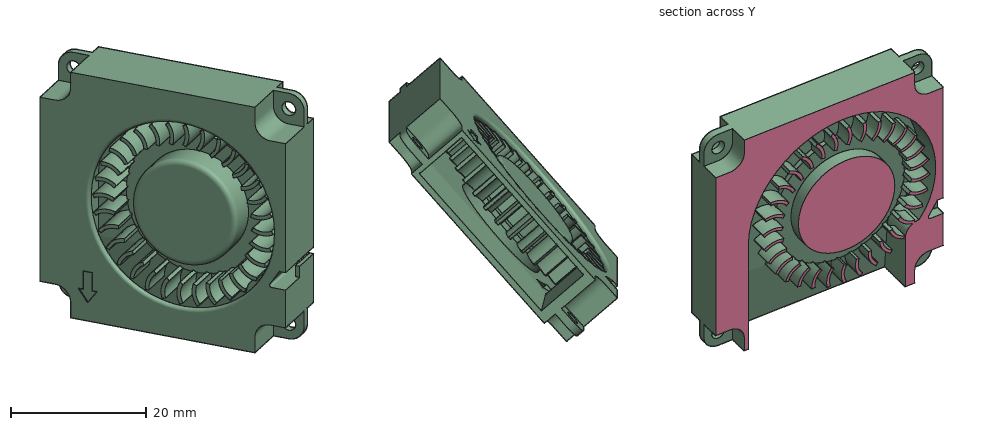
import cadquery as cq
import math

side = 40.0
depth = 10.0
half = side / 2
front_y = -depth / 2
back_y = depth / 2

cover_thickness = 0.8
floor_y = 3.2
floor_ramp_drop = 0.9
ramp_top_z = -9.85
cavity_front_y = front_y + cover_thickness

ear_radius = 2.5
ear_size = 2 * ear_radius
ear_hole_diameter = 2.2
ear_front_y = 1.6
ear_back_y = 2.85

fan_x = 3.0
inlet_diameter = 30.0
inlet_rounding = 0.5
hub_diameter = 17.0
hub_front_y = -4.0
hub_rounding = 0.8
disc_diameter = 22.8
disc_front_y = 0.4
disc_thickness = 0.8

blade_count = 32
blade_thickness = 0.6
blade_inner_radius = 11.0
blade_outer_radius = 14.8
blade_arc_radius = 3.3
blade_arc_center = (12.9, 2.65)
blade_reach = 4.8
blade_front_y = disc_front_y - blade_reach

scroll_start_angle = -20.0
scroll_start_radius = 15.4
scroll_end_angle = 180.0
scroll_end_radius = 17.2
scroll_points = 9
tongue_x = 13.3
tongue_radius = 2.4
tongue_center_z = -10.65

window_inner_radius = 10.8
window_outer_radius = 12.4
window_start_angle = -40.0
window_end_angle = -14.0

notch_top_z = -6.0
notch_bottom_z = -8.85
notch_top_x = 18.95
notch_bottom_x = 17.1
notch_rounding = 0.3
post_width = 0.7
post_top_z = -7.05
post_front_y = 0.0

arrow_x = -12.25
arrow_top_z = -12.0
arrow_shoulder_z = -14.95
arrow_tip_z = -17.0
arrow_stem_width = 1.5
arrow_head_width = 3.0
arrow_depth = 0.2


def plane_at(y):
    """XZ plane at depth y; positive extrusion runs toward the front (-Y)."""
    return cq.Workplane("XZ", origin=(0, y, 0))


def fan_plane_at(y):
    """XZ plane at depth y with its origin on the fan axis."""
    return cq.Workplane("XZ", origin=(fan_x, y, 0))


def polar(radius, angle):
    """Point at an angle in degrees around the local origin."""
    return (radius * math.cos(math.radians(angle)), radius * math.sin(math.radians(angle)))


def make_body():
    """Block with square corner pockets that leave a rounded ear in each corner."""
    body = plane_at(back_y).rect(side, side).extrude(depth)
    ear_plate = plane_at(ear_back_y).rect(side, side).extrude(ear_back_y - ear_front_y)
    ear_plate = ear_plate.edges("|Y").fillet(ear_radius)
    ear_center = half - ear_radius
    for sx in (-1, 1):
        for sz in (-1, 1):
            center = (sx * ear_center, sz * ear_center)
            cutter = plane_at(back_y).center(*center).rect(ear_size, ear_size).extrude(depth)
            inner_edge = cq.selectors.NearestToPointSelector((0, 0, 0))
            cutter = cutter.edges("|Y").edges(inner_edge).fillet(ear_radius)
            ear = ear_plate.intersect(cutter)
            body = body.cut(cutter).union(ear)
            hole = plane_at(back_y).center(*center).circle(ear_hole_diameter / 2).extrude(depth)
            body = body.cut(hole)
    return body


def make_cavity():
    """Scroll chamber that runs straight out through the bottom."""
    sweep = scroll_end_angle - scroll_start_angle
    spiral = []
    for i in range(scroll_points):
        share = i / (scroll_points - 1)
        radius = scroll_start_radius + share * (scroll_end_radius - scroll_start_radius)
        x, z = polar(radius, scroll_start_angle + share * sweep)
        spiral.append((fan_x + x, z))
    outlet_x = spiral[-1][0]
    tongue_center_x = tongue_x + tongue_radius
    tongue_shift = tongue_radius * math.sqrt(0.5)
    outline = (
        plane_at(floor_y)
        .moveTo(tongue_x, -half)
        .lineTo(tongue_x, tongue_center_z)
        .threePointArc(
            (tongue_center_x - tongue_shift, tongue_center_z + tongue_shift),
            (tongue_center_x, tongue_center_z + tongue_radius),
        )
        .spline(spiral, includeCurrent=True)
        .lineTo(outlet_x, -half)
        .close()
    )
    chamber = outline.extrude(floor_y - cavity_front_y)
    ramp = (
        cq.Workplane("YZ", origin=(outlet_x, 0, 0))
        .moveTo(floor_y, ramp_top_z)
        .lineTo(floor_y, -half)
        .lineTo(floor_y + floor_ramp_drop, -half)
        .close()
        .extrude(tongue_x - outlet_x)
    )
    return chamber.union(ramp)


def cut_inlet(body):
    """Round inlet with a rounded lip, through the front cover."""
    inlet = fan_plane_at(cavity_front_y).circle(inlet_diameter / 2).extrude(cover_thickness)
    lip = (
        cq.Workplane("XY")
        .moveTo(inlet_diameter / 2, front_y)
        .lineTo(inlet_diameter / 2 + inlet_rounding, front_y)
        .radiusArc((inlet_diameter / 2, front_y + inlet_rounding), inlet_rounding)
        .close()
        .revolve(360, (0, 0, 0), (0, 1, 0))
        .translate((fan_x, 0, 0))
    )
    return body.cut(inlet).cut(lip)


def make_window():
    """Ring-shaped slot through the floor."""
    middle_angle = (window_start_angle + window_end_angle) / 2
    inner_start = polar(window_inner_radius, window_start_angle)
    inner_middle = polar(window_inner_radius, middle_angle)
    inner_end = polar(window_inner_radius, window_end_angle)
    outer_start = polar(window_outer_radius, window_start_angle)
    outer_middle = polar(window_outer_radius, middle_angle)
    outer_end = polar(window_outer_radius, window_end_angle)
    return (
        fan_plane_at(back_y)
        .moveTo(*inner_start)
        .lineTo(*outer_start)
        .threePointArc(outer_middle, outer_end)
        .lineTo(*inner_end)
        .threePointArc(inner_middle, inner_start)
        .close()
        .extrude(back_y - floor_y)
    )


def make_blade():
    """One blade at the +X side: an arc-shaped strip seen along the fan axis."""
    x, z = blade_arc_center
    blade_back_y = disc_front_y + disc_thickness
    blade_depth = blade_back_y - blade_front_y
    ring = (
        fan_plane_at(blade_back_y)
        .center(x, z)
        .circle(blade_arc_radius + blade_thickness / 2)
        .circle(blade_arc_radius - blade_thickness / 2)
        .extrude(blade_depth)
    )
    reach = 2
    wedge_z = z - reach * blade_arc_radius
    wedge = (
        fan_plane_at(blade_back_y)
        .moveTo(x, z)
        .lineTo(x + reach * (blade_inner_radius - x), wedge_z)
        .lineTo(x + reach * (blade_outer_radius - x), wedge_z)
        .close()
        .extrude(blade_depth)
    )
    return ring.intersect(wedge)


def make_impeller():
    """Hub standing on the floor, carrier disc and a ring of blades."""
    hub = fan_plane_at(floor_y).circle(hub_diameter / 2).extrude(floor_y - hub_front_y)
    hub = hub.faces("<Y").edges().fillet(hub_rounding)
    disc_back_y = disc_front_y + disc_thickness
    disc = fan_plane_at(disc_back_y).circle(disc_diameter / 2).extrude(disc_thickness)
    impeller = hub.union(disc)
    blade = make_blade()
    for i in range(blade_count):
        turned = blade.rotate((fan_x, 0, 0), (fan_x, 1, 0), i * 360 / blade_count)
        impeller = impeller.union(turned)
    return impeller


def make_notch():
    """Slanted notch through the +X side, less its retaining post."""
    notch = (
        plane_at(back_y)
        .moveTo(half, notch_top_z)
        .lineTo(notch_top_x, notch_top_z)
        .lineTo(notch_bottom_x, notch_bottom_z)
        .lineTo(half, notch_bottom_z)
        .close()
        .extrude(depth)
        .edges("|Y and <X")
        .fillet(notch_rounding)
    )
    post = (
        plane_at(back_y)
        .moveTo(half - post_width, notch_bottom_z)
        .lineTo(half, notch_bottom_z)
        .lineTo(half, post_top_z)
        .lineTo(half - post_width, post_top_z)
        .close()
        .extrude(back_y - post_front_y)
    )
    return notch.cut(post)


def make_arrow():
    """Shallow arrow that points to the outlet."""
    return (
        plane_at(front_y + arrow_depth)
        .moveTo(arrow_x - arrow_stem_width / 2, arrow_top_z)
        .lineTo(arrow_x + arrow_stem_width / 2, arrow_top_z)
        .lineTo(arrow_x + arrow_stem_width / 2, arrow_shoulder_z)
        .lineTo(arrow_x + arrow_head_width / 2, arrow_shoulder_z)
        .lineTo(arrow_x, arrow_tip_z)
        .lineTo(arrow_x - arrow_head_width / 2, arrow_shoulder_z)
        .lineTo(arrow_x - arrow_stem_width / 2, arrow_shoulder_z)
        .close()
        .extrude(arrow_depth)
    )


housing = cut_inlet(make_body().cut(make_cavity()))
housing = housing.cut(make_window()).cut(make_notch()).cut(make_arrow())
result = housing.union(make_impeller())